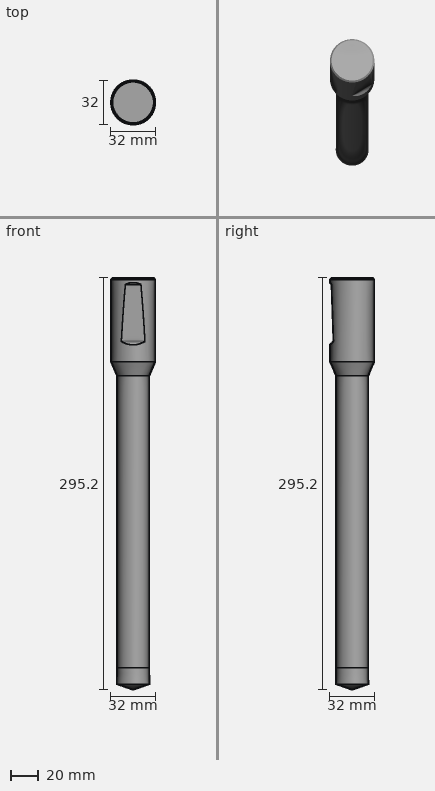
import cadquery as cq
import math

total_length = 295.2
head_diameter = 32.0
shank_diameter = 23.3
head_length = 60.0
neck_length = 10.0
top_chamfer = 1.2
tip_length = 16.0
tip_diameter = 23.5
point_height = 4.0

flat_top_drop = 4.7
flat_bottom_drop = 45.5
flat_top_depth = 1.0
top_ramp_height = 1.5
flat_tilt = 2.0
flat_corner_radius = 1.0

head_radius = head_diameter / 2
shank_radius = shank_diameter / 2
tip_radius = tip_diameter / 2
head_bottom = total_length - head_length
neck_bottom = head_bottom - neck_length


def make_holder():
    """Shank, conical neck and chamfered head, with the clamping flat cut in."""
    profile = [
        (0, tip_length),
        (shank_radius, tip_length),
        (shank_radius, neck_bottom),
        (head_radius, head_bottom),
        (head_radius, total_length - top_chamfer),
        (head_radius - top_chamfer, total_length),
        (0, total_length),
    ]
    blank = cq.Workplane("XZ").polyline(profile).close().revolve(360, (0, 0), (0, 1))
    return blank.cut(make_flat_cutter())


def make_flat_cutter():
    """Volume outside the tilted flat, with a ramp at the top and a filleted 45 degree ramp at the bottom."""
    flat_top = total_length - flat_top_drop
    flat_bottom = total_length - flat_bottom_drop
    flat_bottom_depth = flat_top_depth + (flat_top - flat_bottom) * math.tan(math.radians(flat_tilt))
    outline = [
        (-head_radius, flat_top + top_ramp_height),
        (-head_radius + flat_top_depth, flat_top),
        (-head_radius + flat_bottom_depth, flat_bottom),
        (-head_radius, flat_bottom - flat_bottom_depth),
    ]
    cutter = cq.Workplane("YZ").polyline(outline).close().extrude(head_radius, both=True)
    inner_corner = cq.selectors.NearestToPointSelector((0, -head_radius + flat_bottom_depth, flat_bottom))
    return cutter.edges(inner_corner).fillet(flat_corner_radius)


def make_tip():
    """Slightly flared tip with a conical point, butted against the end of the shank."""
    profile = [
        (0, 0),
        (tip_radius, point_height),
        (shank_radius, tip_length),
        (0, tip_length),
    ]
    return cq.Workplane("XZ").polyline(profile).close().revolve(360, (0, 0), (0, 1))


holder = make_holder()
tip = make_tip()

result = cq.Compound.makeCompound([holder.val(), tip.val()])